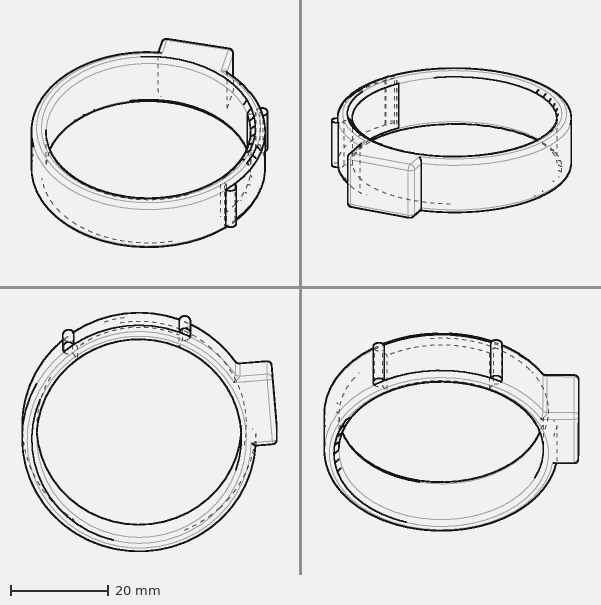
import cadquery as cq
import math

OVERALL_LENGTH = 54.0

RING_OUTER_DIAMETER = 48.0
RING_INNER_DIAMETER = 42.0
RING_HEIGHT = 12.0
RING_OUTER_RADIUS = RING_OUTER_DIAMETER / 2
RING_INNER_RADIUS = RING_INNER_DIAMETER / 2

INSERT_HEIGHT = 10.0
INSERT_START_ANGLE = -5.0
INSERT_SPAN = 60.0
RIB_DIAMETER = 2.5
INSERT_BOTTOM = (RING_HEIGHT - INSERT_HEIGHT) / 2

EDGE_ROUND = INSERT_BOTTOM

BLOCK_TILT = 27.3
BLOCK_WIDTH = 15.0
BLOCK_OFFSET = 4.0

TILT = math.radians(BLOCK_TILT)
CORNER_ACROSS = BLOCK_OFFSET + BLOCK_WIDTH / 2 - EDGE_ROUND
CORNER_Y = OVERALL_LENGTH - RING_OUTER_RADIUS - EDGE_ROUND
BLOCK_REACH = (CORNER_Y - CORNER_ACROSS * math.sin(TILT)) / math.cos(TILT) + EDGE_ROUND


def on_circle(radius, angle):
    """Point in the XY plane at a radius and an angle in radians."""
    return (radius * math.cos(angle), radius * math.sin(angle))


def make_block():
    """Box from the middle of the ring outwards, with its two outer upright edges rounded."""
    return (
        cq.Workplane("XY")
        .center(BLOCK_OFFSET, BLOCK_REACH / 2)
        .rect(BLOCK_WIDTH, BLOCK_REACH)
        .extrude(RING_HEIGHT)
        .edges("|Z and >Y")
        .fillet(EDGE_ROUND)
        .rotate((0, 0, 0), (0, 0, 1), BLOCK_TILT)
    )


def make_insert():
    """Segment through the full ring wall, with an upright rib on the outer surface at each end."""
    start = math.radians(INSERT_START_ANGLE)
    end = math.radians(INSERT_START_ANGLE + INSERT_SPAN)
    middle = (start + end) / 2

    insert = (
        cq.Workplane("XY", origin=(0, 0, INSERT_BOTTOM))
        .moveTo(*on_circle(RING_INNER_RADIUS, start))
        .lineTo(*on_circle(RING_OUTER_RADIUS, start))
        .threePointArc(on_circle(RING_OUTER_RADIUS, middle), on_circle(RING_OUTER_RADIUS, end))
        .lineTo(*on_circle(RING_INNER_RADIUS, end))
        .threePointArc(on_circle(RING_INNER_RADIUS, middle), on_circle(RING_INNER_RADIUS, start))
        .close()
        .extrude(INSERT_HEIGHT)
    )
    for angle in (start, end):
        rib = (
            cq.Workplane("XY", origin=(0, 0, INSERT_BOTTOM))
            .center(*on_circle(RING_OUTER_RADIUS, angle))
            .circle(RIB_DIAMETER / 2)
            .extrude(INSERT_HEIGHT)
        )
        insert = insert.union(rib)
    return insert


def upright_corner_edge():
    """Selector for the upright edge where the block's +X side meets the outside of the ring."""
    across = BLOCK_OFFSET + BLOCK_WIDTH / 2
    angle = TILT + math.acos(across / RING_OUTER_RADIUS)
    corner = on_circle(RING_OUTER_RADIUS, angle)
    return cq.selectors.NearestToPointSelector((*corner, RING_HEIGHT / 2))


def make_ring(insert):
    """Ring joined to the block, with rounded rims, a filleted +X corner and a window that the insert fills."""
    disc = cq.Workplane("XY").circle(RING_OUTER_RADIUS).extrude(RING_HEIGHT)
    bore = cq.Workplane("XY").circle(RING_INNER_RADIUS).extrude(RING_HEIGHT)
    ring = disc.union(make_block()).cut(bore)
    ring = ring.faces("<Z or >Z").edges().fillet(EDGE_ROUND)
    ring = ring.edges(upright_corner_edge()).fillet(EDGE_ROUND)
    return ring.cut(insert)


insert = make_insert()
ring = make_ring(insert)

result = cq.Compound.makeCompound([ring.solids().val(), insert.solids().val()])